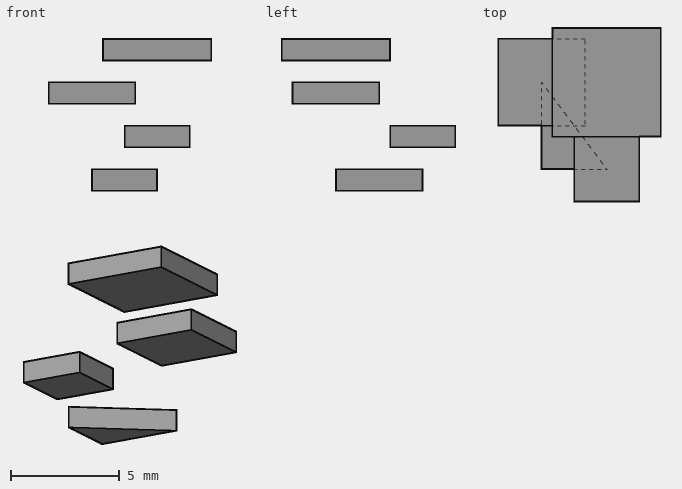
import cadquery as cq

thickness = 1.0
gap = 1.0
level_pitch = thickness + gap

large_side = 5.0
medium_side = 4.0
small_side = 3.0

triangle_length_x = 3.0
triangle_length_y = 4.0

triangle_corner = (2.0, 1.5)
small_corner = (3.5, 0.0)
medium_corner = (0.0, 3.5)
large_corner = (2.5, small_side)


def plate_plane(corner, level):
    """Workplane at a plate's lower-left corner on the given level of the stack."""
    return cq.Workplane("XY", origin=(*corner, level * level_pitch))


def square_plate(side, corner, level):
    """Square plate growing toward +X and +Y from its corner."""
    return plate_plane(corner, level).rect(side, side, centered=False).extrude(thickness)


def triangular_plate(corner, level):
    """Right-triangular plate with its right angle at the corner."""
    return (
        plate_plane(corner, level)
        .polyline([(0, 0), (triangle_length_x, 0), (0, triangle_length_y)])
        .close()
        .extrude(thickness)
    )


triangle_plate = triangular_plate(triangle_corner, level=0)
small_plate = square_plate(small_side, small_corner, level=1)
medium_plate = square_plate(medium_side, medium_corner, level=2)
large_plate = square_plate(large_side, large_corner, level=3)

result = cq.Compound.makeCompound([
    triangle_plate.val(),
    small_plate.val(),
    medium_plate.val(),
    large_plate.val(),
])